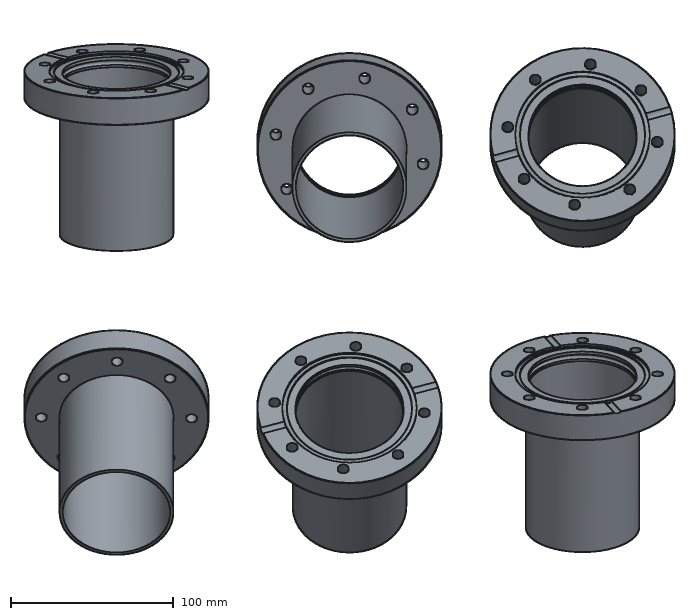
import cadquery as cq
import math

flange_diameter = 113.5
flange_thickness = 17.6
total_height = 105.0
top_chamfer = 0.3
bottom_chamfer = 0.6

tube_outer_diameter = 70.0
tube_inner_diameter = 66.0
socket_diameter = 70.3
tube_top_depth = 7.8

recess_diameter = 82.5
recess_depth = 1.4
knife_crest_diameter = 77.0
knife_foot_diameter = 76.5
knife_crest_depth = 0.7
inner_floor_depth = 1.2

bore_diameter = 66.5
relief_top_depth = 3.4
relief_radius = 1.5

bolt_count = 8
bolt_circle_diameter = 92.3
bolt_hole_diameter = 6.7

leak_groove_width = 4.5
leak_groove_depth = 0.9


def make_flange_blank():
    """Revolved flange with recess, knife edge, relief groove and tube socket."""
    outer_radius = flange_diameter / 2
    bore_radius = bore_diameter / 2
    socket_radius = socket_diameter / 2
    relief_middle_depth = relief_top_depth + relief_radius
    relief_bottom_depth = relief_top_depth + 2 * relief_radius
    return (
        cq.Workplane("XZ")
        .moveTo(recess_diameter / 2, 0)
        .lineTo(outer_radius - top_chamfer, 0)
        .lineTo(outer_radius, -top_chamfer)
        .lineTo(outer_radius, bottom_chamfer - flange_thickness)
        .lineTo(outer_radius - bottom_chamfer, -flange_thickness)
        .lineTo(socket_radius, -flange_thickness)
        .lineTo(socket_radius, -tube_top_depth)
        .lineTo(bore_radius, -tube_top_depth)
        .lineTo(bore_radius, -relief_bottom_depth)
        .threePointArc(
            (bore_radius + relief_radius, -relief_middle_depth),
            (bore_radius, -relief_top_depth),
        )
        .lineTo(bore_radius, -inner_floor_depth)
        .lineTo(knife_foot_diameter / 2, -inner_floor_depth)
        .lineTo(knife_crest_diameter / 2, -knife_crest_depth)
        .lineTo(recess_diameter / 2, -recess_depth)
        .close()
        .revolve(360, (0, 0, 0), (0, 1, 0))
    )


def make_bolt_holes():
    """Cutters for the through holes on the bolt circle."""
    first_angle = 180 / bolt_count
    return (
        cq.Workplane("XY")
        .polarArray(bolt_circle_diameter / 2, first_angle, 360, bolt_count)
        .circle(bolt_hole_diameter / 2)
        .extrude(-flange_thickness)
    )


def make_leak_groove(direction):
    """Cutter running from the recess wall to the rim, toward +X or -X."""
    half_width = leak_groove_width / 2
    start = math.sqrt((recess_diameter / 2) ** 2 - half_width ** 2)
    return (
        cq.Workplane("YZ", origin=(direction * start, 0, 0))
        .moveTo(-half_width, 0)
        .threePointArc((0, -leak_groove_depth), (half_width, 0))
        .close()
        .extrude(direction * (flange_diameter / 2 - start))
    )


def make_flange():
    """Complete flange body."""
    flange = make_flange_blank().cut(make_bolt_holes())
    for direction in (-1, 1):
        flange = flange.cut(make_leak_groove(direction))
    return flange


def make_tube():
    """Plain tube, seated against the socket shoulder of the flange."""
    return (
        cq.Workplane("XY", origin=(0, 0, -total_height))
        .circle(tube_outer_diameter / 2)
        .circle(tube_inner_diameter / 2)
        .extrude(total_height - tube_top_depth)
    )


flange = make_flange()
tube = make_tube()
result = cq.Compound.makeCompound([flange.val(), tube.val()])